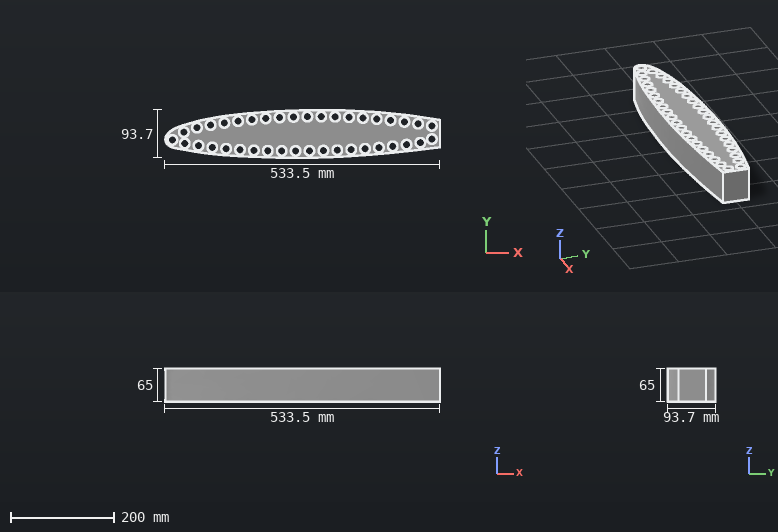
import cadquery as cq

LENGTH = 533.5
HEIGHT = 65.0
CREST_Y = 47.0
KEEL_Y = -46.5
NOSE_Y = -10.5
TAIL_UPPER_Y = 28.0
TAIL_LOWER_Y = -25.5

UPPER_FLANK = [(8.5, 4.5), (29.5, 15.5), (74.5, 28.5), (160.0, 40.5), (277.5, CREST_Y), (416.0, 42.5)]
LOWER_FLANK = [(7.5, -22.5), (26.5, -29.0), (74.5, -37.0), (160.0, -44.0), (261.5, KEEL_Y), (400.0, -40.0)]

HOLE_DIAMETER = 18.0
NOSE_HOLE = (14.0, -11.0)
UPPER_ROW = [NOSE_HOLE, (36.0, 4.0), (87.5, 17.5), (168.0, 28.5), (289.0, 34.0), (411.0, 29.5), (517.5, 16.0)]
LOWER_ROW = [(38.0, -18.0), (91.0, -25.5), (172.5, -31.5), (253.0, -32.5), (388.0, -28.5), (495.0, -16.5)]
UPPER_HOLE_COUNT = 20
LOWER_HOLE_COUNT = 18
TAIL_HOLE = (517.5, -9.5)


def make_body():
    """Extrude the hull-shaped outline: two flanks from a round nose to a flat tail."""
    nose = (0, NOSE_Y)
    upper_tail = (LENGTH, TAIL_UPPER_Y)
    lower_tail = (LENGTH, TAIL_LOWER_Y)
    flanks = UPPER_FLANK[::-1] + [nose] + LOWER_FLANK + [lower_tail]
    outline = cq.Workplane("XY").moveTo(*upper_tail).spline(flanks, includeCurrent=True).close()
    return outline.extrude(HEIGHT)


def row_centers(row_points, count):
    """Space hole centers equally by length along a smooth curve."""
    row = cq.Edge.makeSpline([cq.Vector(x, y) for x, y in row_points])
    positions = [row.positionAt(i / (count - 1)) for i in range(count)]
    return [(p.x, p.y) for p in positions]


upper_centers = row_centers(UPPER_ROW, UPPER_HOLE_COUNT)
lower_centers = row_centers(LOWER_ROW, LOWER_HOLE_COUNT)
centers = upper_centers + lower_centers + [TAIL_HOLE]
holes = cq.Workplane("XY").pushPoints(centers).circle(HOLE_DIAMETER / 2).extrude(HEIGHT)

result = make_body().cut(holes)